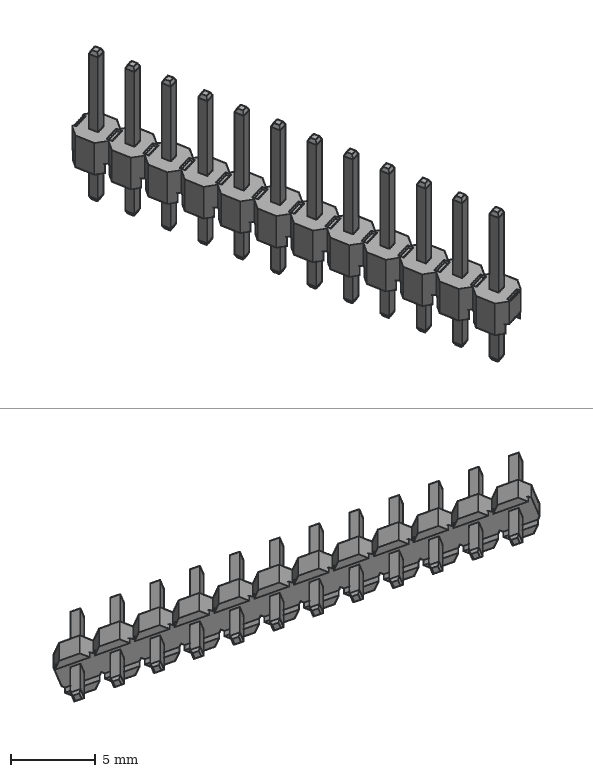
import cadquery as cq

row_length = 30.48
pin_count = 12
pitch = row_length / pin_count

housing_height = 2.47
corner_chamfer = 0.6
channel_height = 0.7
channel_side_inset = 0.15
channel_width = pitch - 2 * corner_chamfer + 2 * channel_side_inset

recess_length = 1.1
recess_width = 0.4
recess_depth = 0.1
recess_taper_degrees = 45

pin_length = 11.6
pin_width = 0.65
pin_below_housing = 3.05
tip_height = 0.27
tip_inset = 0.12
tip_width = pin_width - 2 * tip_inset

pin_centers = [((i - (pin_count - 1) / 2) * pitch, 0) for i in range(pin_count)]
joint_centers = [((i - pin_count / 2) * pitch, 0) for i in range(pin_count + 1)]


def make_housing():
    """Row of octagonal cells with an underside channel and recessed joints."""
    cell = cq.Workplane("XY").box(pitch, pitch, housing_height, centered=(True, True, False))
    cell = cell.edges("|Z").chamfer(corner_chamfer)
    housing = cq.Workplane("XY")
    for center in pin_centers:
        housing = housing.union(cell.translate((*center, 0)))
    channel = cq.Workplane("XY").box(
        row_length, channel_width, channel_height, centered=(True, True, False)
    )
    recesses = (
        cq.Workplane("XY", origin=(0, 0, housing_height))
        .pushPoints(joint_centers)
        .rect(recess_width, recess_length)
        .extrude(-recess_depth, taper=recess_taper_degrees)
    )
    return housing.cut(channel).cut(recesses)


def make_tip():
    """Tapered pin end, narrowing upward from the XY plane."""
    return (
        cq.Workplane("XY")
        .rect(pin_width, pin_width)
        .workplane(offset=tip_height)
        .rect(tip_width, tip_width)
        .loft(ruled=True)
    )


def make_pin():
    """Square pin with a tapered tip at each end, placed along Z."""
    shank_length = pin_length - 2 * tip_height
    shank = cq.Workplane("XY").box(pin_width, pin_width, shank_length, centered=(True, True, False))
    top_tip = make_tip().translate((0, 0, shank_length))
    bottom_tip = make_tip().mirror("XY")
    pin = shank.union(top_tip).union(bottom_tip)
    return pin.translate((0, 0, tip_height - pin_below_housing))


result = make_housing()
pin = make_pin()
for center in pin_centers:
    result = result.union(pin.translate((*center, 0)))